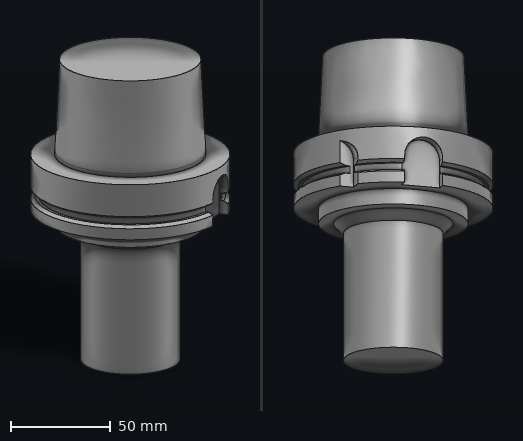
import cadquery as cq

taper_height = 50.0
neck_height = 2.0
flange_bottom = -29.0
collar_bottom = -37.0
cone_bottom = -42.0
shank_bottom = -108.0

neck_diameter = 75.8
taper_ratio = 0.1
taper_top_diameter = neck_diameter - taper_ratio * (taper_height - neck_height)
flange_diameter = 100.0
collar_diameter = 75.0
shank_diameter = 50.0
cone_top_diameter = shank_diameter + 2 * (collar_bottom - cone_bottom)

groove_center = -20.0
groove_mouth_width = 6.4
groove_shoulder_width = 3.75
groove_shoulder_diameter = 95.4
groove_floor_diameter = 92.0

slot_width = 20.0
slot_top = -5.0
drive_slot_floor = 44.0
side_slot_floor = 31.9
side_slot_offset = 41.4


def turned_body():
    """Taper, flange, collar, cone and shank revolved about Z."""
    profile = [
        (0, taper_height),
        (taper_top_diameter / 2, taper_height),
        (neck_diameter / 2, neck_height),
        (neck_diameter / 2, 0),
        (flange_diameter / 2, 0),
        (flange_diameter / 2, flange_bottom),
        (collar_diameter / 2, flange_bottom),
        (collar_diameter / 2, collar_bottom),
        (cone_top_diameter / 2, collar_bottom),
        (shank_diameter / 2, cone_bottom),
        (shank_diameter / 2, shank_bottom),
        (0, shank_bottom),
    ]
    return cq.Workplane("XZ").polyline(profile).close().revolve(360, (0, 0, 0), (0, 1, 0))


def gripper_groove():
    """Ring with bevelled shoulders and a cylindrical floor."""
    profile = [
        (flange_diameter / 2, groove_center + groove_mouth_width / 2),
        (groove_shoulder_diameter / 2, groove_center + groove_shoulder_width / 2),
        (groove_floor_diameter / 2, groove_center + groove_shoulder_width / 2),
        (groove_floor_diameter / 2, groove_center - groove_shoulder_width / 2),
        (groove_shoulder_diameter / 2, groove_center - groove_shoulder_width / 2),
        (flange_diameter / 2, groove_center - groove_mouth_width / 2),
    ]
    return cq.Workplane("XZ").polyline(profile).close().revolve(360, (0, 0, 0), (0, 1, 0))


def slot_cutter(floor_distance, offset):
    """Slot on the -X side, from its flat floor out to the flange rim."""
    radius = slot_width / 2
    arc_height = slot_top - radius
    return (
        cq.Workplane("YZ", origin=(-floor_distance, offset, 0))
        .moveTo(-radius, flange_bottom)
        .lineTo(-radius, arc_height)
        .threePointArc((0, slot_top), (radius, arc_height))
        .lineTo(radius, flange_bottom)
        .close()
        .extrude(floor_distance - flange_diameter / 2)
    )


drive_slot = slot_cutter(drive_slot_floor, 0)
opposite_slot = drive_slot.rotate((0, 0, 0), (0, 0, 1), 180)
side_slot = slot_cutter(side_slot_floor, side_slot_offset)

result = turned_body().cut(gripper_groove())
for slot in (drive_slot, opposite_slot, side_slot):
    result = result.cut(slot)